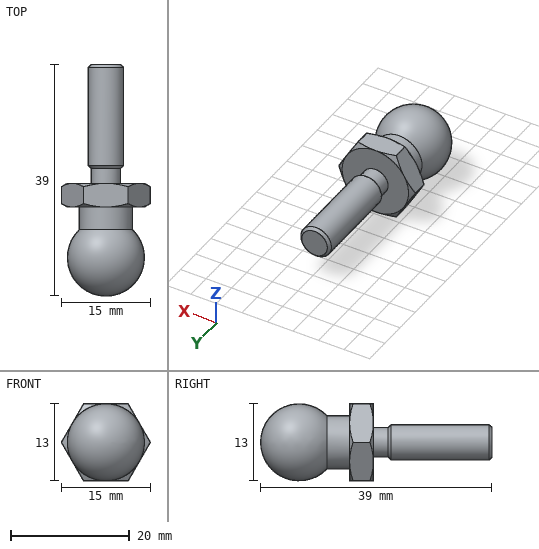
import cadquery as cq
import math

ball_diameter = 13.0
collar_diameter = 9.0
hex_across_flats = 13.0
hex_thickness = 4.0
neck_diameter = 5.0
shank_diameter = 6.0
shank_chamfer = 0.5

ball_to_hex = 8.5
neck_length = 2.5
stud_length = 20.0

hex_chamfer_angle = 30.0
hex_face_diameter = 13.0

ball_radius = ball_diameter / 2
collar_radius = collar_diameter / 2
neck_radius = neck_diameter / 2
shank_radius = shank_diameter / 2

hex_start = ball_to_hex
hex_end = hex_start + hex_thickness
neck_end = hex_end + neck_length
tip = hex_end + stud_length


def make_ball_and_collar():
    """Ball joined to the hex by a cylindrical collar."""
    collar_start = math.sqrt(ball_radius**2 - collar_radius**2)
    return (
        cq.Workplane("XY")
        .moveTo(0, -ball_radius)
        .threePointArc((ball_radius, 0), (collar_radius, collar_start))
        .lineTo(collar_radius, hex_start)
        .lineTo(0, hex_start)
        .close()
        .revolve(360, (0, 0), (0, 1))
    )


def make_hex():
    """Hexagon with corners along X, chamfered at both ends."""
    corner_radius = hex_across_flats / math.sqrt(3)
    face_radius = hex_face_diameter / 2
    drop = (corner_radius - face_radius) * math.tan(math.radians(hex_chamfer_angle))
    prism = (
        cq.Workplane("XZ", origin=(0, hex_start, 0))
        .polygon(6, 2 * corner_radius)
        .extrude(-hex_thickness)
    )
    envelope = (
        cq.Workplane("XY")
        .moveTo(0, hex_start)
        .lineTo(face_radius, hex_start)
        .lineTo(corner_radius, hex_start + drop)
        .lineTo(corner_radius, hex_end - drop)
        .lineTo(face_radius, hex_end)
        .lineTo(0, hex_end)
        .close()
        .revolve(360, (0, 0), (0, 1))
    )
    return prism.intersect(envelope)


def make_shank():
    """Undercut neck and shank, chamfered at both ends of the shank."""
    shank_start = neck_end + (shank_radius - neck_radius)
    return (
        cq.Workplane("XY")
        .moveTo(0, hex_end)
        .lineTo(neck_radius, hex_end)
        .lineTo(neck_radius, neck_end)
        .lineTo(shank_radius, shank_start)
        .lineTo(shank_radius, tip - shank_chamfer)
        .lineTo(shank_radius - shank_chamfer, tip)
        .lineTo(0, tip)
        .close()
        .revolve(360, (0, 0), (0, 1))
    )


result = make_ball_and_collar().union(make_hex()).union(make_shank())